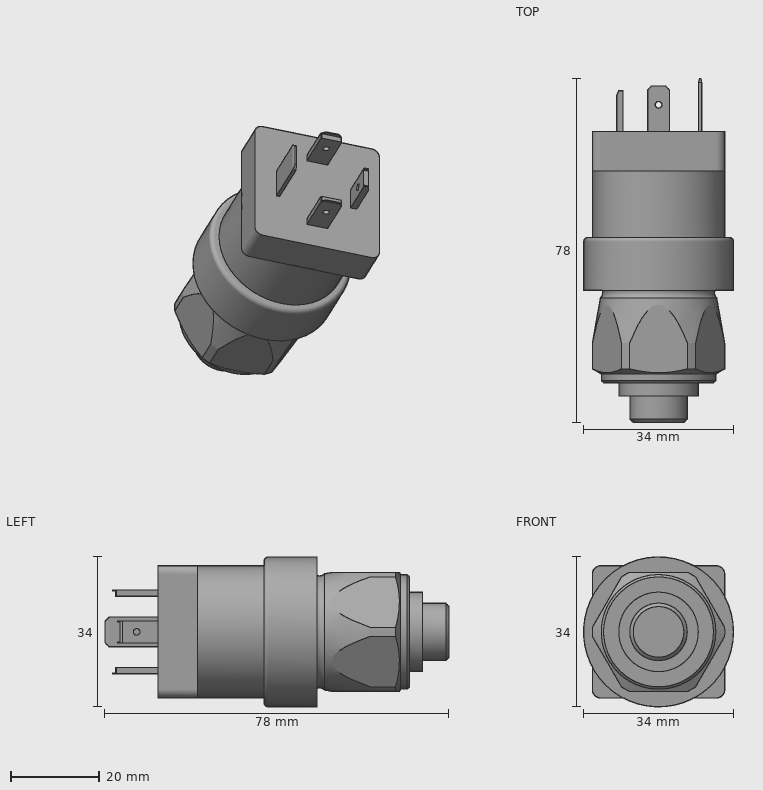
import cadquery as cq
import math


stem_shoulder_y = 6.0
collar_front_y = 9.0
nut_front_y = 11.0
cone_start_y = 17.95
cone_end_y = 28.2
flange_front_y = 29.95
flange_back_y = 42.0
housing_front_y = 57.0
housing_back_y = 66.0
overall_length = 78.0

stem_diameter = 13.0
stem_chamfer = 0.8
shoulder_diameter = 18.0
collar_diameter = 26.0
collar_chamfer = 0.55
neck_diameter = 25.4
neck_groove_radius = 1.55
flange_diameter = 34.0
flange_fillet = 1.0
body_diameter = 30.0

nut_sides = 6
nut_across_flats = 27.0
nut_diameter = body_diameter
cone_angle = 10.0
nut_front_angle = 30.0

housing_side = body_diameter
housing_corner_radius = 1.95

hole_diameter = 1.5
contact_thickness = 1.5
contact_width = 5.0
contact_outer_face = 9.5
lip_thickness = 0.2

contact_tip_y = 76.3
contact_corner = 0.9
contact_lip_length = 0.7
contact_hole_y = 72.0

side_tip_y = 75.2
side_bevel_length = 1.2
side_bevel_depth = 0.5
side_notch_depth = 0.55
side_hole_y = 70.8

ground_width = 6.8
ground_thickness = 0.8
ground_center_x = 9.4
ground_corner = 0.9
ground_bevel_length = 1.0
ground_bevel_depth = 0.2


def cylinder(diameter, start_y, end_y):
    plane = cq.Workplane("XZ", origin=(0, start_y, 0))
    return plane.circle(diameter / 2).extrude(start_y - end_y)


def box(x_range, y_range, z_range):
    (x0, x1), (y0, y1), (z0, z1) = x_range, y_range, z_range
    return cq.Workplane("XY").box(x1 - x0, y1 - y0, z1 - z0, centered=False).translate((x0, y0, z0))


def tab_blank(width, thickness, tip_y, corner):
    """Flat tab lying in XY, centred on X and Z, with both tip corners cut at 45 degrees."""
    half = width / 2
    tab = box((-half, half), (housing_back_y, tip_y), (-thickness / 2, thickness / 2))
    return tab.edges("|Z and >Y").chamfer(corner)


def make_stem():
    stem = cylinder(stem_diameter, 0, stem_shoulder_y).faces("<Y").chamfer(stem_chamfer)
    shoulder = cylinder(shoulder_diameter, stem_shoulder_y, collar_front_y)
    collar = cylinder(collar_diameter, collar_front_y, nut_front_y).faces("<Y").chamfer(collar_chamfer)
    return stem.union(shoulder).union(collar)


def make_nut():
    """Hexagon trimmed by a front chamfer and a long rear cone, with a grooved neck behind it."""
    nut_radius = nut_diameter / 2
    collar_radius = collar_diameter / 2
    neck_radius = neck_diameter / 2
    corner_front_y = nut_front_y + (nut_radius - collar_radius) * math.tan(math.radians(nut_front_angle))
    cone_end_radius = nut_radius - (cone_end_y - cone_start_y) * math.tan(math.radians(cone_angle))

    groove_axis_radius = neck_radius + neck_groove_radius
    rim_depth = groove_axis_radius - cone_end_radius
    groove_y = cone_end_y + math.sqrt(neck_groove_radius**2 - rim_depth**2)
    flange_offset = flange_front_y - groove_y
    groove_end_radius = groove_axis_radius - math.sqrt(neck_groove_radius**2 - flange_offset**2)

    turned = (
        cq.Workplane("XY")
        .moveTo(0, nut_front_y)
        .lineTo(collar_radius, nut_front_y)
        .lineTo(nut_radius, corner_front_y)
        .lineTo(nut_radius, cone_start_y)
        .lineTo(cone_end_radius, cone_end_y)
        .threePointArc((neck_radius, groove_y), (groove_end_radius, flange_front_y))
        .lineTo(0, flange_front_y)
        .close()
        .revolve(360, (0, 0, 0), (0, 1, 0))
    )
    across_corners = nut_across_flats / math.cos(math.pi / nut_sides)
    hexagon = (
        cq.Workplane("XZ", origin=(0, nut_front_y, 0))
        .polygon(nut_sides, across_corners)
        .extrude(nut_front_y - flange_front_y)
    )
    return turned.intersect(hexagon)


def make_body():
    flange = cylinder(flange_diameter, flange_front_y, flange_back_y)
    flange = flange.faces(">Y").edges().fillet(flange_fillet)
    barrel = cylinder(body_diameter, flange_back_y, housing_front_y)
    half = housing_side / 2
    housing = box((-half, half), (housing_front_y, housing_back_y), (-half, half))
    housing = housing.edges("|Y").fillet(housing_corner_radius)
    return flange.union(barrel).union(housing)


def make_contact_tab():
    """Upper contact: drilled tab whose tip is stepped down to a thin lip on the outer face."""
    tab = tab_blank(contact_width, contact_thickness, contact_tip_y, contact_corner)
    tab = tab.translate((0, 0, contact_outer_face - contact_thickness / 2))
    step = box(
        (-contact_width, contact_width),
        (contact_tip_y - contact_lip_length, contact_tip_y),
        (contact_outer_face - contact_thickness, contact_outer_face - lip_thickness),
    )
    drill = cq.Workplane("XY", origin=(0, contact_hole_y, 0)).circle(hole_diameter / 2)
    return tab.cut(step).cut(drill.extrude(contact_outer_face))


def make_side_tab():
    """Contact on the -X side: outer tip bevel and a tip notch that leaves a thin prong at each edge."""
    outer_x = -contact_outer_face
    inner_x = outer_x + contact_thickness
    profile = [
        (inner_x, housing_back_y),
        (inner_x, side_tip_y),
        (outer_x + side_bevel_depth, side_tip_y),
        (outer_x, side_tip_y - side_bevel_length),
        (outer_x, housing_back_y),
    ]
    tab = cq.Workplane("XY").polyline(profile).close().extrude(contact_width / 2, both=True)
    notch_half = contact_width / 2 - lip_thickness
    notch = box(
        (outer_x, inner_x),
        (side_tip_y - side_notch_depth, side_tip_y),
        (-notch_half, notch_half),
    )
    drill = cq.Workplane("YZ", origin=(outer_x, side_hole_y, 0)).circle(hole_diameter / 2)
    return tab.cut(notch).cut(drill.extrude(contact_thickness))


def make_ground_tab():
    """Wide thin tab on the +X side, standing along Z, with its tip bevelled on both faces."""
    tab = tab_blank(ground_width, ground_thickness, overall_length, ground_corner)
    tab = tab.rotate((0, 0, 0), (0, 1, 0), 90)
    half = ground_thickness / 2
    tip_half = half - ground_bevel_depth
    bevel_y = overall_length - ground_bevel_length
    edge_profile = [
        (-half, housing_back_y),
        (half, housing_back_y),
        (half, bevel_y),
        (tip_half, overall_length),
        (-tip_half, overall_length),
        (-half, bevel_y),
    ]
    envelope = cq.Workplane("XY").polyline(edge_profile).close().extrude(ground_width, both=True)
    return tab.intersect(envelope).translate((ground_center_x, 0, 0))


upper_contact = make_contact_tab()
lower_contact = upper_contact.mirror("XY")

result = make_stem()
for section in (
    make_nut(),
    make_body(),
    upper_contact,
    lower_contact,
    make_side_tab(),
    make_ground_tab(),
):
    result = result.union(section)